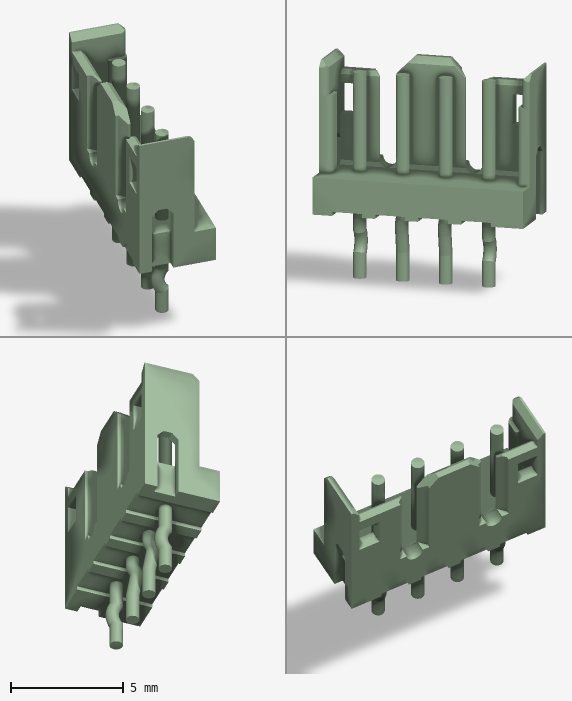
import cadquery as cq
import math


housing_height = 6.8
body_length = 9.8
body_depth = 3.6
body_offset = -0.3
base_height = 1.7
wall_thickness = 0.6
wall_height = 6.0
corner_bevel = 0.18
wall_top_chamfer = 0.2
slot_end_chamfer = 0.2

ear_thickness = 0.4
ear_depth = 2.6
ear_chamfer = 0.3
ear_edge_radius = 0.3

rib_height = 5.25
rib_start = 1.7
rib_projection = 0.2
rib_front_radius = 0.1

relief_near = 0.6
relief_far = 1.6
relief_height = 3.2
relief_chamfer = 0.3

slot_width = 0.8
slot_spacing = 4.0
slot_floor = 2.1
slot_bevel = 0.33
slot_bevel_start = 0.15
tab_chamfer = 0.8
tab_back_chamfer = 0.3

window_width = 1.0
window_bottom = 4.0
window_top = 5.4

gap_width = 1.4
gap_height = 0.18

pin_count = 4
pin_pitch = 2.0
pin_radius = 0.3
pin_y = 1.6
pin_top = 6.2
pin_bottom = -3.2

bow_radius = 0.9
bow_offset = 0.19
bow_height = -1.55
mitre_overlap = 0.01

kink_start = -0.14
kink_radius = 0.45
kink_angle = math.radians(38)
lean_angle = math.radians(9.6)

body_left = body_offset - body_length / 2
body_right = body_offset + body_length / 2
inner_left = body_left + ear_thickness
inner_right = body_right - ear_thickness
slot_centers = (-slot_spacing / 2, slot_spacing / 2)
pin_xs = [(i - (pin_count - 1) / 2) * pin_pitch for i in range(pin_count)]


def box(x0, x1, y0, y1, z0, z1):
    """Box between two opposite corners."""
    return cq.Workplane("XY").box(x1 - x0, y1 - y0, z1 - z0, centered=False).translate((x0, y0, z0))


def prism_along_x(points, x0, x1):
    """Prism with a (y, z) outline between two X positions."""
    return cq.Workplane("YZ").workplane(offset=x0).polyline(points).close().extrude(x1 - x0)


def prism_along_y(points, y0, y1):
    """Prism with an (x, z) outline between two Y positions."""
    return cq.Workplane("XZ").workplane(offset=-y1).polyline(points).close().extrude(y1 - y0)


def mirror_ends(left_feature):
    """A feature of the left end together with its mirror image at the right end."""
    mirrored = left_feature.mirror("YZ", (body_offset, 0, 0))
    return left_feature.union(mirrored)


def wall_profile(height, chamfer):
    """(y, z) outline of the front wall with its rear top edge chamfered."""
    return [
        (0, 0),
        (wall_thickness, 0),
        (wall_thickness, height - chamfer),
        (wall_thickness - chamfer, height),
        (0, height),
    ]


def side_walls():
    """Front walls between each slot and its ear; the right one is shorter."""
    slot_side = slot_centers[0] - slot_width / 2
    outline = [
        (inner_left, 0),
        (slot_side, 0),
        (slot_side, wall_height - slot_end_chamfer),
        (slot_side - slot_end_chamfer, wall_height),
        (inner_left, wall_height),
    ]
    section = prism_along_x(wall_profile(wall_height, wall_top_chamfer), inner_left, slot_side)
    left_wall = section.intersect(prism_along_y(outline, 0, wall_thickness))
    right_limit = box(0, inner_right, 0, wall_thickness, 0, wall_height)
    right_wall = left_wall.mirror("YZ").intersect(right_limit)
    return left_wall.union(right_wall)


def tab():
    """Tall tab between the slots, with sloping top corners and a chamfered back edge."""
    half_width = (slot_spacing - slot_width) / 2
    outline = [
        (-half_width, 0),
        (half_width, 0),
        (half_width, housing_height - tab_chamfer),
        (half_width - tab_chamfer, housing_height),
        (tab_chamfer - half_width, housing_height),
        (-half_width, housing_height - tab_chamfer),
    ]
    section = prism_along_x(wall_profile(housing_height, tab_back_chamfer), -half_width, half_width)
    return section.intersect(prism_along_y(outline, 0, wall_thickness))


def front_wall():
    """Side walls, tab, and the low wall that closes the slots at the bottom."""
    low_wall = box(inner_left, inner_right, 0, wall_thickness, 0, slot_floor)
    bevel_outline = [
        (wall_thickness, base_height),
        (wall_thickness + corner_bevel, base_height),
        (wall_thickness, base_height + corner_bevel),
    ]
    bevel = prism_along_x(bevel_outline, inner_left, inner_right)
    return low_wall.union(bevel).union(side_walls()).union(tab())


def slot(center):
    """Cutter for one round-ended slot with bevelled front edges."""
    half = slot_width / 2
    wide = half + slot_bevel
    depth = wall_thickness + corner_bevel
    channel = box(center - half, center + half, 0, depth, slot_floor, housing_height)
    round_end = (
        cq.Workplane("XZ").center(center, slot_floor).circle(half).extrude(-depth)
    )
    bevel_outline = [
        (center - wide, 0),
        (center + wide, 0),
        (center + wide, slot_bevel_start),
        (center + half, slot_bevel_start + slot_bevel),
        (center - half, slot_bevel_start + slot_bevel),
        (center - wide, slot_bevel_start),
    ]
    bevel = (
        cq.Workplane("XY").workplane(offset=slot_floor)
        .polyline(bevel_outline).close().extrude(housing_height - slot_floor)
    )
    return channel.union(round_end).union(bevel)


def ear():
    """Left ear: chamfered top edges and a rounded inner rear edge."""
    plate = box(body_left, inner_left, 0, ear_depth, 0, housing_height)
    plate = plate.edges("|Z and >X and >Y").fillet(ear_edge_radius)
    side_outline = [
        (0, 0),
        (ear_depth, 0),
        (ear_depth, housing_height - ear_chamfer),
        (ear_depth - ear_chamfer, housing_height),
        (0, housing_height),
    ]
    front_outline = [
        (body_left, 0),
        (inner_left, 0),
        (inner_left, housing_height - ear_chamfer),
        (inner_left - ear_chamfer, housing_height),
        (body_left, housing_height),
    ]
    plate = plate.intersect(prism_along_x(side_outline, body_left, inner_left))
    return plate.intersect(prism_along_y(front_outline, 0, ear_depth))


def rib():
    """Left rib, standing on the base against the inner face of the ear."""
    block = box(body_left, inner_left + rib_projection, rib_start, ear_depth, 0, rib_height)
    block = block.edges("|Z and >X and >Y").fillet(ear_edge_radius)
    return block.edges("|Z and >X and <Y").fillet(rib_front_radius)


def relief():
    """Cutter for the slot through the foot of the left ear and the end of the base."""
    outline = [
        (relief_near, 0),
        (relief_far, 0),
        (relief_far, relief_height - relief_chamfer),
        (relief_far - relief_chamfer, relief_height),
        (relief_near + relief_chamfer, relief_height),
        (relief_near, relief_height - relief_chamfer),
    ]
    return prism_along_x(outline, body_left, inner_left)


def window():
    """Cutter for the left latch window, flush with the inner face of the ear."""
    return box(inner_left, inner_left + window_width, 0, wall_thickness, window_bottom, window_top)


def gap(x):
    """Cutter for the standoff gap under one pin."""
    return box(x - gap_width / 2, x + gap_width / 2, 0, body_depth, 0, gap_height)


def housing():
    """Moulded body without pins."""
    body = box(body_left, body_right, 0, body_depth, 0, base_height)
    body = body.union(front_wall())
    for center in slot_centers:
        body = body.cut(slot(center))
    body = body.union(mirror_ends(ear())).union(mirror_ends(rib()))
    body = body.cut(mirror_ends(relief())).cut(mirror_ends(window()))
    for x in pin_xs:
        body = body.cut(gap(x))
    return body


def bowed_pin(x):
    """Straight pin whose lower part bows forward along an arc, mitred at both ends."""
    axis_distance = bow_radius - bow_offset
    center_y = pin_y + axis_distance

    def ring_half_height(tube_side):
        """Half height of the ring's inner (-1) or outer (+1) outline where it meets the pin."""
        outline_radius = bow_radius + tube_side * pin_radius
        return math.sqrt(outline_radius**2 - (axis_distance + tube_side * pin_radius) ** 2)

    inner_half = ring_half_height(-1)
    outer_half = ring_half_height(1)
    mitre_slope = (outer_half - inner_half) / (2 * pin_radius)
    reach = 2 * pin_radius

    def wedge(inset):
        """Space between the two mitre planes, each moved inward by the inset."""
        front_half = inner_half + mitre_slope * (pin_radius + reach) - inset
        back_half = inner_half + mitre_slope * (pin_radius - reach) - inset
        outline = [
            (pin_y - reach, bow_height - front_half),
            (pin_y - reach, bow_height + front_half),
            (pin_y + reach, bow_height + back_half),
            (pin_y + reach, bow_height - back_half),
        ]
        return prism_along_x(outline, x - reach, x + reach)

    shank = (
        cq.Workplane("XY", origin=(x, pin_y, pin_bottom))
        .circle(pin_radius).extrude(pin_top - pin_bottom)
    )
    ring = cq.Workplane(
        cq.Solid.makeTorus(
            bow_radius, pin_radius, cq.Vector(x, center_y, bow_height), cq.Vector(1, 0, 0)
        )
    )
    return shank.cut(wedge(mitre_overlap)).union(ring.intersect(wedge(0)))


def kinked_pin(x):
    """Pin that steps rearward in an S-curve and leans back to its axis."""

    def arc_move(start, heading, turn):
        """Middle and end points of an arc; heading is the rearward slope angle."""
        side = math.copysign(1, turn)

        def point(angle):
            y = start[0] + side * kink_radius * (math.cos(heading) - math.cos(angle))
            z = start[1] - side * kink_radius * (math.sin(angle) - math.sin(heading))
            return (y, z)

        return point(heading + turn / 2), point(heading + turn)

    first = (pin_y, kink_start)
    first_mid, inflection = arc_move(first, 0, kink_angle)
    second_mid, lean_top = arc_move(inflection, kink_angle, -(kink_angle + lean_angle))
    last_arc_shift = kink_radius * (1 - math.cos(lean_angle))
    lean_shift = lean_top[0] - pin_y - last_arc_shift
    lean_bottom = (
        lean_top[0] - lean_shift,
        lean_top[1] - lean_shift / math.tan(lean_angle),
    )
    last_mid, last = arc_move(lean_bottom, -lean_angle, lean_angle)
    path = (
        cq.Workplane("YZ", origin=(x, 0, 0))
        .moveTo(pin_y, pin_top)
        .lineTo(*first)
        .threePointArc(first_mid, inflection)
        .threePointArc(second_mid, lean_top)
        .lineTo(*lean_bottom)
        .threePointArc(last_mid, last)
        .lineTo(pin_y, pin_bottom)
    )
    return cq.Workplane("XY", origin=(x, pin_y, pin_top)).circle(pin_radius).sweep(path)


result = housing()
for index, pin_x in enumerate(pin_xs):
    is_outer = index in (0, pin_count - 1)
    pin = bowed_pin(pin_x) if is_outer else kinked_pin(pin_x)
    result = result.union(pin)